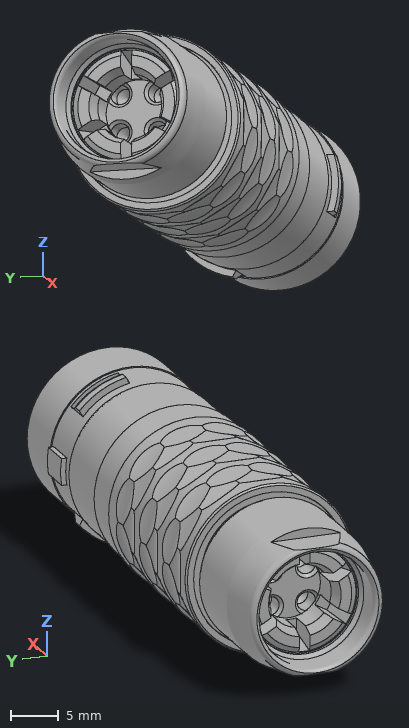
import cadquery as cq
import math

TOTAL_LENGTH = 60.8

NOSE_RADIUS = 8.33
NOSE_LENGTH = 12.95
NOSE_TIP_RADIUS = 7.4
NOSE_CONE_LENGTH = 4.95
LIP_OUTER_LENGTH = 0.75
LIP_INNER_LENGTH = 0.9
LIP_CREST_RADIUS = 6.9
NOSE_REAR_CHAMFER = 0.25
NOSE_FLAT_HEIGHT = 7.05
NOSE_FLAT_LENGTH = 3.5
NECK_RADIUS = 7.46

SLEEVE_START = 13.7
SLEEVE_END = 35.6
SLEEVE_RADIUS = 9.5
SLEEVE_CHAMFER = 0.2
SLEEVE_RECESS_RADIUS = 8.6
SLEEVE_RECESS_DEPTH = 0.8

SCALLOPS_PER_ROW = 12
SCALLOP_BANDS = 3
SCALLOP_BAND_PITCH = 6.54
FIRST_ROW_X = 17.1
ROW_SPACING = 1.74
SCALLOP_HALF_LENGTH = 1.88
SCALLOP_DEPTH = 0.44
SCALLOP_CUTTER_LENGTH = 8.0

COLLAR_END = 40.35
COLLAR_RADIUS = 9.25
SHELL_RADIUS = 9.05
SHELL_END_FILLET = 1.05
BAND_START = 48.0
BAND_END = 53.5
BAND_RADIUS = 8.92

LATCH_COUNT = 3
LATCH_WIDTH = 6.1
LATCH_START = 49.6
LATCH_CREST_END = 50.7
LATCH_END = 52.95
LATCH_RADIUS = 9.68
LATCH_TOE_RADIUS = 8.5
LATCH_ROOT_RADIUS = 7.0

KEY_START = 49.25
KEY_END = 53.0
KEY_WIDTH = 3.0

MOUTH_RADIUS = 6.45
MOUTH_DEPTH = 3.15
SOCKET_RADIUS = 6.05
SOCKET_TAPER_END = 3.65
SOCKET_FLOOR_X = 4.0
INSERT_FACE_X = 3.7
INSERT_RADIUS = 5.9
INSERT_CHAMFER_RADIAL = 0.6
INSERT_CHAMFER_AXIAL = 0.25

RECESS_RADIUS = 4.1
RECESS_TAPER_END = 5.0
CORE_RADIUS = 3.5
CORE_FACE_X = 8.1

SLOT_COUNT = 6
SLOT_WIDTH = 1.2
SLOT_FLOOR_X = 7.6
SLOT_FLOOR_RADIUS = 5.0

CONTACT_COUNT = 4
CONTACT_CIRCLE_RADIUS = 2.9
CONTACT_RADIUS = 1.03
CONTACT_SINK = 0.35
CONTACT_DEPTH = 2.5


def disc(start, end, radius):
    """Cylinder about the connector axis between two X positions."""
    return cq.Workplane("YZ", origin=(start, 0, 0)).circle(radius).extrude(end - start)


def turned(points):
    """Solid of revolution about X from (x, radius) points."""
    return cq.Workplane("XY").polyline(points).close().revolve(360, (0, 0, 0), (1, 0, 0))


def spun(solid, angle):
    """Copy of a solid turned about the connector axis."""
    return solid.rotate((0, 0, 0), (1, 0, 0), angle)


def lip_midpoint(lip_end):
    """Point halfway round the quarter turn from the lip crest to one side of the lip."""
    length, radius = lip_end
    axial = length * (1 - math.sqrt(0.5))
    radial = LIP_CREST_RADIUS + (radius - LIP_CREST_RADIUS) * math.sqrt(0.5)
    return (axial, radial)


def make_nose():
    """Nose shell with a rounded lip, the open socket and the solid insert behind it."""
    cone_slope = (NOSE_RADIUS - NOSE_TIP_RADIUS) / NOSE_CONE_LENGTH
    lip_outer = (LIP_OUTER_LENGTH, NOSE_TIP_RADIUS + cone_slope * LIP_OUTER_LENGTH)
    lip_crest = (0, LIP_CREST_RADIUS)
    lip_inner = (LIP_INNER_LENGTH, MOUTH_RADIUS)
    outside = (
        cq.Workplane("XY")
        .moveTo(NOSE_LENGTH, 0)
        .lineTo(NOSE_LENGTH, NOSE_RADIUS - NOSE_REAR_CHAMFER)
        .lineTo(NOSE_LENGTH - NOSE_REAR_CHAMFER, NOSE_RADIUS)
        .lineTo(NOSE_CONE_LENGTH, NOSE_RADIUS)
        .lineTo(*lip_outer)
        .threePointArc(lip_midpoint(lip_outer), lip_crest)
        .threePointArc(lip_midpoint(lip_inner), lip_inner)
    )
    profile = (
        outside
        .lineTo(MOUTH_DEPTH, MOUTH_RADIUS)
        .lineTo(SOCKET_TAPER_END, SOCKET_RADIUS)
        .lineTo(SOCKET_FLOOR_X, SOCKET_RADIUS)
        .lineTo(SOCKET_FLOOR_X, INSERT_RADIUS)
        .lineTo(INSERT_FACE_X + INSERT_CHAMFER_AXIAL, INSERT_RADIUS)
        .lineTo(INSERT_FACE_X, INSERT_RADIUS - INSERT_CHAMFER_RADIAL)
        .lineTo(INSERT_FACE_X, 0)
        .close()
    )
    nose = profile.revolve(360, (0, 0, 0), (1, 0, 0))
    flat_cutter = cq.Workplane("XY").box(
        NOSE_FLAT_LENGTH, 2 * NOSE_RADIUS, NOSE_RADIUS, centered=(False, True, False)
    ).translate((0, 0, NOSE_FLAT_HEIGHT))
    for angle in (0, 180):
        nose = nose.cut(spun(flat_cutter, angle))
    return nose


def make_sleeve():
    sleeve = disc(SLEEVE_START, SLEEVE_END, SLEEVE_RADIUS)
    sleeve = sleeve.faces("<X").edges().chamfer(SLEEVE_CHAMFER)
    recess_end = SLEEVE_START + SLEEVE_RECESS_DEPTH
    sleeve = sleeve.cut(disc(SLEEVE_START, recess_end, SLEEVE_RECESS_RADIUS))
    cutter_radius = (SCALLOP_HALF_LENGTH**2 + SCALLOP_DEPTH**2) / (2 * SCALLOP_DEPTH)
    cutter_height = SLEEVE_RADIUS - SCALLOP_DEPTH + cutter_radius
    cutter = (
        cq.Workplane("XZ")
        .center(0, cutter_height)
        .circle(cutter_radius)
        .extrude(SCALLOP_CUTTER_LENGTH / 2, both=True)
    )
    pitch_angle = 360 / SCALLOPS_PER_ROW
    for band in range(SCALLOP_BANDS):
        for row in range(2):
            row_x = FIRST_ROW_X + band * SCALLOP_BAND_PITCH + row * ROW_SPACING
            row_cutter = cutter.translate((row_x, 0, 0))
            for index in range(SCALLOPS_PER_ROW):
                sleeve = sleeve.cut(spun(row_cutter, (index + row / 2) * pitch_angle))
    return sleeve


def make_shell():
    collar = disc(SLEEVE_END, COLLAR_END, COLLAR_RADIUS)
    barrel = disc(COLLAR_END, TOTAL_LENGTH, SHELL_RADIUS)
    barrel = barrel.faces(">X").edges().fillet(SHELL_END_FILLET)
    band_outer = disc(BAND_START, BAND_END, SHELL_RADIUS)
    band_groove = band_outer.cut(disc(BAND_START, BAND_END, BAND_RADIUS))
    return collar.union(barrel.cut(band_groove))


def add_latches(shell):
    """Set ramped latches into matching windows, the first on the -Y side."""
    blank = cq.Workplane("XY").box(
        LATCH_END - LATCH_START, LATCH_RADIUS, LATCH_WIDTH, centered=(False, False, True)
    ).translate((LATCH_START, -LATCH_ROOT_RADIUS - LATCH_RADIUS, 0))
    ramp = turned([
        (LATCH_START, 0),
        (LATCH_START, LATCH_RADIUS),
        (LATCH_CREST_END, LATCH_RADIUS),
        (LATCH_END, LATCH_TOE_RADIUS),
        (LATCH_END, 0),
    ])
    latch = ramp.intersect(blank)
    for index in range(LATCH_COUNT):
        angle = index * 360 / LATCH_COUNT
        shell = shell.cut(spun(blank, angle)).union(spun(latch, angle))
    return shell


def make_key():
    blank = cq.Workplane("XY").box(
        KEY_END - KEY_START, SLEEVE_RADIUS, KEY_WIDTH, centered=(False, False, True)
    ).translate((KEY_START, LATCH_ROOT_RADIUS, 0))
    return disc(KEY_START, KEY_END, SLEEVE_RADIUS).intersect(blank)


def make_insert_recess():
    return turned([
        (INSERT_FACE_X, 0),
        (INSERT_FACE_X, RECESS_RADIUS),
        (RECESS_TAPER_END, CORE_RADIUS),
        (CORE_FACE_X, CORE_RADIUS),
        (CORE_FACE_X, 0),
    ])


def make_slot():
    outline = [
        (INSERT_FACE_X, 0),
        (INSERT_FACE_X, INSERT_RADIUS),
        (SLOT_FLOOR_X, SLOT_FLOOR_RADIUS),
        (SLOT_FLOOR_X, 0),
    ]
    return cq.Workplane("XZ").polyline(outline).close().extrude(SLOT_WIDTH / 2, both=True)


def make_contact_hole():
    hole_end = CORE_FACE_X + CONTACT_DEPTH
    return turned([
        (CORE_FACE_X, 0),
        (CORE_FACE_X, CONTACT_RADIUS + CONTACT_SINK),
        (CORE_FACE_X + CONTACT_SINK, CONTACT_RADIUS),
        (hole_end, CONTACT_RADIUS),
        (hole_end + CONTACT_RADIUS, 0),
    ]).translate((0, 0, CONTACT_CIRCLE_RADIUS))


def cut_insert(nose):
    nose = nose.cut(make_insert_recess())
    slot = make_slot()
    for index in range(SLOT_COUNT):
        nose = nose.cut(spun(slot, index * 360 / SLOT_COUNT))
    hole = make_contact_hole()
    for index in range(CONTACT_COUNT):
        nose = nose.cut(spun(hole, (index + 0.5) * 360 / CONTACT_COUNT))
    return nose


nose = cut_insert(make_nose())
neck = disc(NOSE_LENGTH, SLEEVE_START + SLEEVE_RECESS_DEPTH, NECK_RADIUS)
shell = add_latches(make_shell()).union(make_key())
result = nose.union(neck).union(make_sleeve()).union(shell)